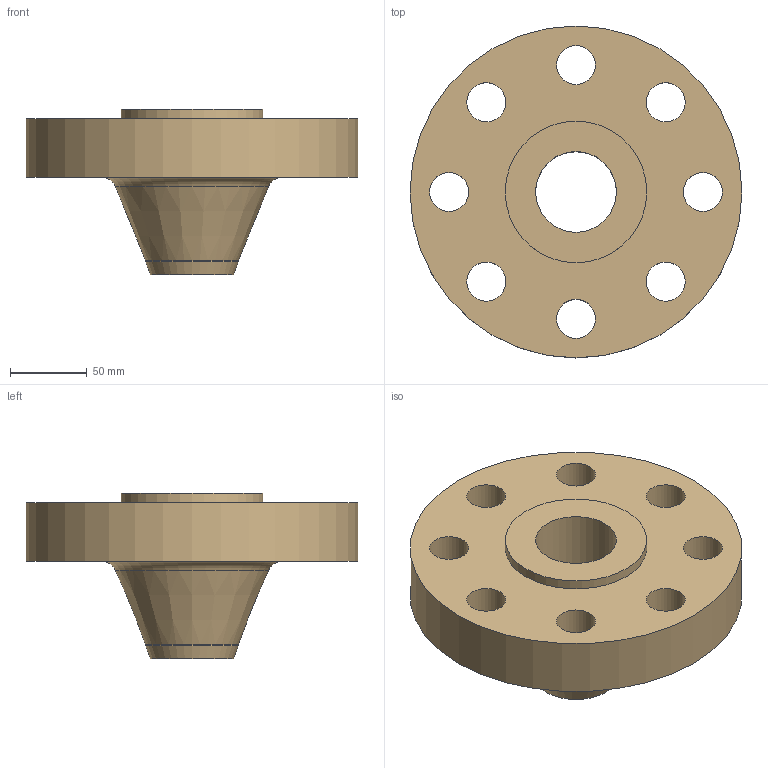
import cadquery as cq
import math

flange_diameter = 215.9
flange_thickness = 38.1
face_diameter = 92.1
face_height = 6.35
overall_height = 107.95

hub_base_diameter = 104.5
weld_diameter = 60.3
hub_fillet = 9.5
bore_diameter = 52.5
land_width = 0.8
weld_rim_height = 0.8
bevel_angle = 20.0

bolt_count = 8
bolt_circle_diameter = 165.1
bolt_hole_diameter = 25.4

flange_top = overall_height - face_height
flange_bottom = flange_top - flange_thickness

land_radius = bore_diameter / 2 + land_width
weld_radius = weld_diameter / 2
bevel_height = (weld_radius - land_radius) / math.tan(math.radians(bevel_angle))
rim_top = bevel_height + weld_rim_height

hub_base_radius = hub_base_diameter / 2
cone_angle = math.atan2(hub_base_radius - weld_radius, flange_bottom - rim_top)
fillet_setback = hub_fillet * math.tan((math.pi / 2 - cone_angle) / 2)
fillet_start = (
    hub_base_radius - fillet_setback * math.sin(cone_angle),
    flange_bottom - fillet_setback * math.cos(cone_angle),
)
fillet_end = (hub_base_radius + fillet_setback, flange_bottom)


def make_body():
    """Revolve the section of hub, flange disc and raised face around the bore axis."""
    section = (
        cq.Workplane("XZ")
        .moveTo(bore_diameter / 2, 0)
        .lineTo(land_radius, 0)
        .lineTo(weld_radius, bevel_height)
        .lineTo(weld_radius, rim_top)
        .lineTo(*fillet_start)
        .tangentArcPoint(fillet_end, relative=False)
        .lineTo(flange_diameter / 2, flange_bottom)
        .lineTo(flange_diameter / 2, flange_top)
        .lineTo(face_diameter / 2, flange_top)
        .lineTo(face_diameter / 2, overall_height)
        .lineTo(bore_diameter / 2, overall_height)
        .close()
    )
    return section.revolve(360, (0, 0, 0), (0, 1, 0))


def cut_bolt_holes(body):
    """Cut the ring of bolt holes through the flange disc."""
    holes = (
        cq.Workplane("XY")
        .workplane(offset=flange_bottom)
        .polarArray(bolt_circle_diameter / 2, 0, 360, bolt_count)
        .circle(bolt_hole_diameter / 2)
        .extrude(flange_thickness)
    )
    return body.cut(holes)


result = cut_bolt_holes(make_body())